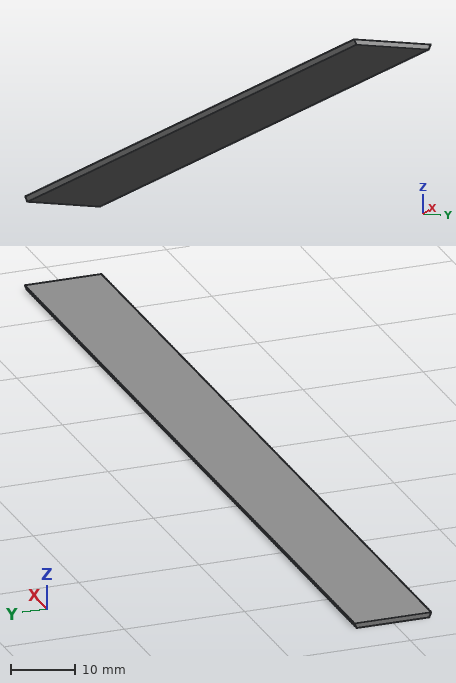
import cadquery as cq

length = 145.0
top_width = 12.8
thickness = 0.84
side_inset = 0.36

bottom_width = top_width - 2 * side_inset

section = [
    (-top_width / 2, thickness / 2),
    (top_width / 2, thickness / 2),
    (bottom_width / 2, -thickness / 2),
    (-bottom_width / 2, -thickness / 2),
]

result = cq.Workplane("YZ").polyline(section).close().extrude(length / 2, both=True)